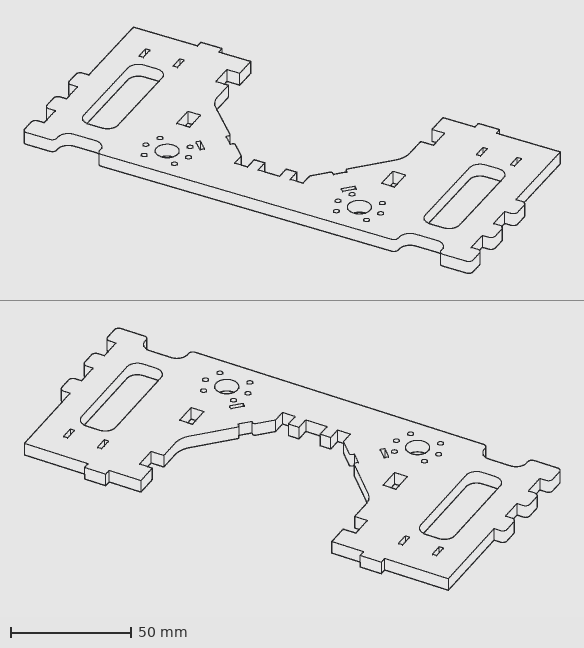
import cadquery as cq
import math

thickness = 6.0
foot_half_width = 105.0
body_half_width = 100.0
plate_depth = 93.0
lower_edge = -plate_depth / 2
top_tab_height = 3.0
body_depth = plate_depth - top_tab_height
joint_pitch = 10.0
tab_root = body_depth - joint_pitch

side_tab_fillet = 2.0
side_tab_starts = [0.0, 2 * joint_pitch, 4 * joint_pitch]
top_tab_center = 65.0

opening_half_width = 45.0
floor_half_width = 16.0
floor_height = 20.0
tooth_height = thickness
tooth_inner = 5.0
tooth_outer = 10.0
slope_start_height = floor_height + tooth_height
shoulder_height = 56.0
shoulder_radius = 10.0
side_notch_bottom = 70.0

slope_angle = math.degrees(
    math.atan2(shoulder_height - slope_start_height, opening_half_width - floor_half_width)
)
slope_notch_distance = 12.7
slope_notch_length = 6.0
slope_notch_depth = 2.0
slope_notch_fillet = 1.0
nut_slot_center = (34.8, 25.0)
nut_slot_length = 6.0
nut_slot_width = 2.0

arm_center = 80.0
window_width = 16.0
window_bottom = 17.6
window_top = 67.0
window_corner_radius = 5.0
window_corner_width = window_corner_radius
window_lower_corner_height = 4.5
strap_slot_width = 2.0
strap_slot_length = 6.0
strap_slot_center_height = 75.0
strap_slot_centers = [71.0, 87.0]
joint_slot_bottom = 35.0

arch_width = 20.0
arch_height = 8.0
arch_fillet = 5.0
arch_mouth_fillet = 2.0

mount_center = (45.0, 15.0)
shaft_hole_diameter = 10.0
screw_hole_diameter = 2.5
screw_circle_radius = 10.0
screw_angles = [0, 45, 135, 180, 225, 315]


def block(x_min, x_max, y_min, y_max):
    """Full-thickness block on the +X side, with Y measured from the lower edge."""
    return (
        cq.Workplane("XY")
        .box(x_max - x_min, y_max - y_min, thickness, centered=False)
        .translate((x_min, y_min, 0))
    )


def tilted_block(center, length, width):
    """Full-thickness block with its length along the sloped edge."""
    return (
        cq.Workplane("XY")
        .box(length, width, thickness, centered=(True, True, False))
        .rotate((0, 0, 0), (0, 0, 1), slope_angle)
        .translate((center[0], center[1], 0))
    )


def half_body():
    """Right half of the plate: base bar, sloped shoulder, arm and floor tooth."""
    body = (
        cq.Workplane("XY")
        .polyline([
            (0, 0),
            (body_half_width, 0),
            (body_half_width, body_depth),
            (opening_half_width, body_depth),
            (opening_half_width, shoulder_height),
            (floor_half_width, slope_start_height),
            (floor_half_width, floor_height),
            (0, floor_height),
        ])
        .close()
        .extrude(thickness)
    )
    shoulder = cq.selectors.NearestToPointSelector((opening_half_width, shoulder_height, thickness / 2))
    body = body.edges("|Z").edges(shoulder).fillet(shoulder_radius)
    return body.union(block(tooth_inner, tooth_outer, floor_height, floor_height + tooth_height))


def edge_tabs():
    """Rounded fingers on the outer side and a plain tab on the top edge."""
    half_tab = joint_pitch / 2
    tabs = block(top_tab_center - half_tab, top_tab_center + half_tab, tab_root, plate_depth)
    for start in side_tab_starts:
        finger = block(arm_center, foot_half_width, start, start + joint_pitch)
        tabs = tabs.union(finger.edges("|Z and >X").fillet(side_tab_fillet))
    return tabs


def foot_arch():
    """Arched cutter for the lower edge, with rounded crown and flared mouth."""
    half = arch_width / 2
    mouth = half + arch_mouth_fillet
    crown = arch_height - arch_fillet
    return (
        cq.Workplane("XY")
        .moveTo(-mouth, 0)
        .radiusArc((-half, arch_mouth_fillet), -arch_mouth_fillet)
        .lineTo(-half, crown)
        .radiusArc((-half + arch_fillet, arch_height), arch_fillet)
        .lineTo(half - arch_fillet, arch_height)
        .radiusArc((half, crown), arch_fillet)
        .lineTo(half, arch_mouth_fillet)
        .radiusArc((mouth, 0), -arch_mouth_fillet)
        .close()
        .extrude(thickness)
        .translate((arm_center, 0, 0))
    )


def arm_window():
    """Long arm window; its lower corners are slightly shorter than its upper ones."""
    half = window_width / 2
    flat = half - window_corner_width
    lower_corner_top = window_bottom + window_lower_corner_height
    upper_corner_bottom = window_top - window_corner_width
    return (
        cq.Workplane("XY")
        .moveTo(-flat, window_bottom)
        .radiusArc((-half, lower_corner_top), window_corner_radius)
        .lineTo(-half, upper_corner_bottom)
        .radiusArc((-flat, window_top), window_corner_radius)
        .lineTo(flat, window_top)
        .radiusArc((half, upper_corner_bottom), window_corner_radius)
        .lineTo(half, lower_corner_top)
        .radiusArc((flat, window_bottom), window_corner_radius)
        .close()
        .extrude(thickness)
        .translate((arm_center, 0, 0))
    )


def arm_openings():
    """Window, strap slots and joint slots in the arm."""
    cutter = arm_window()
    for x in strap_slot_centers:
        cutter = cutter.union(block(
            x - strap_slot_width / 2,
            x + strap_slot_width / 2,
            strap_slot_center_height - strap_slot_length / 2,
            strap_slot_center_height + strap_slot_length / 2,
        ))
    for y in [joint_slot_bottom, side_notch_bottom]:
        cutter = cutter.union(block(opening_half_width, opening_half_width + thickness, y, y + joint_pitch))
    return cutter


def notched_slope(body):
    """Cut the shallow notch in the sloped edge and round its two outer corners."""
    angle = math.radians(slope_angle)
    along = (math.cos(angle), math.sin(angle))
    center = (
        floor_half_width + slope_notch_distance * along[0],
        slope_start_height + slope_notch_distance * along[1],
    )
    body = body.cut(tilted_block(center, slope_notch_length, 2 * slope_notch_depth))
    for offset in [-slope_notch_length / 2, slope_notch_length / 2]:
        corner = (center[0] + offset * along[0], center[1] + offset * along[1], thickness / 2)
        nearest = cq.selectors.NearestToPointSelector(corner)
        body = body.edges("|Z").edges(nearest).fillet(slope_notch_fillet)
    return body


def motor_mount():
    """Shaft hole ringed by six screw holes."""
    screw_points = [
        (
            screw_circle_radius * math.cos(math.radians(angle)),
            screw_circle_radius * math.sin(math.radians(angle)),
        )
        for angle in screw_angles
    ]
    holes = cq.Workplane("XY").circle(shaft_hole_diameter / 2).extrude(thickness)
    screws = cq.Workplane("XY").pushPoints(screw_points).circle(screw_hole_diameter / 2).extrude(thickness)
    return holes.union(screws).translate((mount_center[0], mount_center[1], 0))


half_plate = notched_slope(half_body()).union(edge_tabs())
nut_slot = tilted_block(nut_slot_center, nut_slot_length, nut_slot_width)
for cut in [foot_arch(), arm_openings(), nut_slot, motor_mount()]:
    half_plate = half_plate.cut(cut)

result = half_plate.union(half_plate.mirror("YZ")).clean().translate((0, lower_edge, 0))